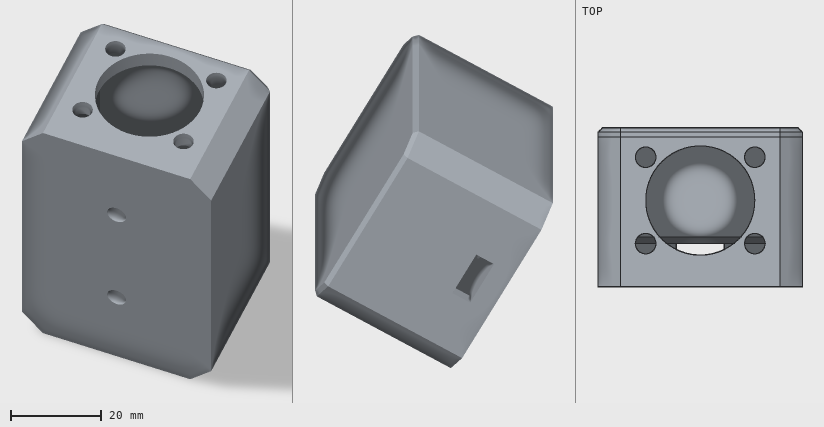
import cadquery as cq

width = 45.0
depth = 35.0
height = 68.0
corner_chamfer = 5.0

lid_thickness = 2.0
lid_edge_chamfer = 1.0

side_wall = 5.0
front_wall = 5.0
end_wall = 4.0

bore_diameter = 24.0
screw_diameter = 4.5
top_screw_spacing_x = 24.0
top_screw_spacing_y = 19.0
front_screw_spacing = 28.0

ledge_height = 1.5
ledge_front_y = -8.0
cable_slot_width = 10.5

front_y = -depth / 2
back_y = depth / 2
split_y = back_y - lid_thickness
cavity_front_y = front_y + front_wall
cavity_depth = split_y - cavity_front_y
cavity_center_y = (split_y + cavity_front_y) / 2
cavity_width = width - 2 * side_wall
cavity_height = height - 2 * end_wall
cavity_floor_z = -cavity_height / 2


def octagon_points(inset=0.0):
    """Outline in XZ, drawn in by inset while its straight edges keep their length."""
    edge_x = width / 2 - inset
    edge_z = height / 2 - inset
    flat_x = width / 2 - corner_chamfer
    flat_z = height / 2 - corner_chamfer
    return [
        (flat_x, edge_z),
        (edge_x, flat_z),
        (edge_x, -flat_z),
        (flat_x, -edge_z),
        (-flat_x, -edge_z),
        (-edge_x, -flat_z),
        (-edge_x, flat_z),
        (-flat_x, edge_z),
    ]


def octagon_slab(start_y, thickness):
    """Rectangle with cut corners in XZ, extruded from start_y toward +Y."""
    plane = cq.Workplane("XZ", origin=(0, start_y, 0))
    return plane.polyline(octagon_points()).close().extrude(-thickness)


def make_cavity():
    """Rectangular chamber open toward the lid."""
    cavity = cq.Workplane("XY").box(cavity_width, cavity_depth, cavity_height)
    return cavity.translate((0, cavity_center_y, 0))


def make_ledge():
    """Raised floor at the back of the chamber, with a 45 degree front slope."""
    ledge_top_z = cavity_floor_z + ledge_height
    profile = [
        (ledge_front_y, cavity_floor_z),
        (ledge_front_y + ledge_height, ledge_top_z),
        (split_y, ledge_top_z),
        (split_y, cavity_floor_z),
    ]
    return cq.Workplane("YZ").polyline(profile).close().extrude(cavity_width / 2, both=True)


def make_cable_slot():
    """Opening through the bottom wall, between the front wall and the ledge."""
    slot_length = ledge_front_y - cavity_front_y
    slot = cq.Workplane("XY").box(cable_slot_width, slot_length, end_wall)
    return slot.translate((0, cavity_front_y + slot_length / 2, cavity_floor_z - end_wall / 2))


def make_top_holes():
    """Large bore and four screw holes through the top wall."""
    top_wall = cq.Workplane("XY", origin=(0, cavity_center_y, cavity_height / 2))
    bore = top_wall.circle(bore_diameter / 2).extrude(end_wall)
    screws = top_wall.rect(top_screw_spacing_x, top_screw_spacing_y, forConstruction=True).vertices()
    return bore.add(screws.circle(screw_diameter / 2).extrude(end_wall)).combine()


def make_front_holes():
    """Two screw holes through the front wall."""
    half_spacing = front_screw_spacing / 2
    inner_face = cq.Workplane("XZ", origin=(0, cavity_front_y, 0))
    centers = [(0, -half_spacing), (0, half_spacing)]
    return inner_face.pushPoints(centers).circle(screw_diameter / 2).extrude(front_wall)


def make_housing():
    """Hollow box with cut corners, open at the back where the lid closes it."""
    body = octagon_slab(front_y, depth - lid_thickness).cut(make_cavity()).union(make_ledge())
    return body.cut(make_cable_slot()).cut(make_top_holes()).cut(make_front_holes())


def make_lid():
    """Plain slab with a bevelled rim, whose corner cuts keep their end points in line."""
    slab = octagon_slab(split_y, lid_thickness - lid_edge_chamfer)
    bevel_plane = cq.Workplane("XZ", origin=(0, back_y - lid_edge_chamfer, 0))
    bevel_base = bevel_plane.polyline(octagon_points()).close().workplane(offset=-lid_edge_chamfer)
    bevel = bevel_base.polyline(octagon_points(lid_edge_chamfer)).close().loft(ruled=True)
    return slab.union(bevel)


housing = make_housing()
lid = make_lid()

result = cq.Compound.makeCompound([housing.solids().val(), lid.solids().val()])